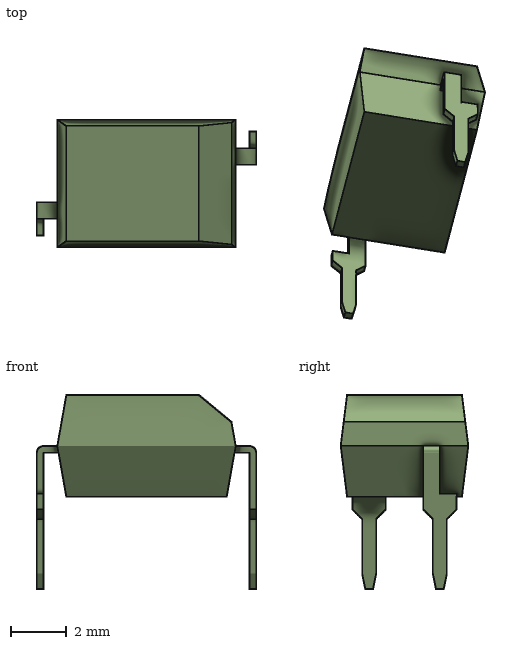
import cadquery as cq


BODY_LENGTH = 6.4
BODY_WIDTH = 4.58
HALF_HEIGHT = 1.825
END_DRAFT = 0.32
SIDE_DRAFT = 0.23
BEVEL_SETBACK = 1.0
BEVEL_DROP = 0.97

LEAD_SPAN = 7.87
LEAD_THICKNESS = 0.25
LEAD_PITCH = 2.535
STANDOFF = 3.305
EMBED_DEPTH = 0.79
SHOULDER_WIDTH = 1.205
PIN_WIDTH = 0.51
TIP_WIDTH = 0.28
SHOULDER_TOP = 1.715
SHOULDER_BOTTOM = 2.275
TIP_LENGTH = 0.55


def half_body(direction):
    """Drafted half of the body, rising (+1) or falling (-1) from the parting plane."""
    return (
        cq.Workplane("XY")
        .rect(BODY_LENGTH, BODY_WIDTH)
        .workplane(offset=direction * HALF_HEIGHT)
        .rect(BODY_LENGTH - 2 * END_DRAFT, BODY_WIDTH - 2 * SIDE_DRAFT)
        .loft(ruled=True, combine=True)
    )


def end_bevel():
    """Wedge that cuts the top edge of the +X end, extended past the body so it cuts cleanly."""
    corner_x = BODY_LENGTH / 2 - END_DRAFT
    bevel_start = corner_x - BEVEL_SETBACK
    bevel_end = corner_x + END_DRAFT * BEVEL_DROP / HALF_HEIGHT
    slope = BEVEL_DROP / (bevel_end - bevel_start)
    outer_x = BODY_LENGTH / 2
    return (
        cq.Workplane("XZ")
        .moveTo(bevel_start, HALF_HEIGHT)
        .lineTo(outer_x, HALF_HEIGHT - slope * (outer_x - bevel_start))
        .lineTo(outer_x, HALF_HEIGHT)
        .close()
        .extrude(BODY_WIDTH / 2, both=True)
    )


def lead():
    """Lead on the -X end: an L-shaped strip trimmed to the outline of its flat blank."""
    outer_x = -LEAD_SPAN / 2
    inner_x = outer_x + LEAD_THICKNESS
    arm_end = -BODY_LENGTH / 2 + EMBED_DEPTH
    tip_z = -HALF_HEIGHT - STANDOFF

    strip = (
        cq.Workplane("XZ")
        .moveTo(outer_x, tip_z)
        .lineTo(outer_x, -LEAD_THICKNESS)
        .radiusArc((inner_x, 0), LEAD_THICKNESS)
        .lineTo(arm_end, 0)
        .lineTo(arm_end, -LEAD_THICKNESS)
        .lineTo(inner_x, -LEAD_THICKNESS)
        .lineTo(inner_x, tip_z)
        .close()
        .extrude(LEAD_PITCH)
    )

    axis_y = -LEAD_PITCH / 2
    half_shoulder = SHOULDER_WIDTH / 2
    half_pin = PIN_WIDTH / 2
    half_tip = TIP_WIDTH / 2
    pin_top = -SHOULDER_BOTTOM - (half_shoulder - half_pin)
    tip_top = tip_z + TIP_LENGTH
    outline = (
        cq.Workplane("YZ", origin=(outer_x, 0, 0))
        .moveTo(axis_y, 0)
        .lineTo(axis_y + half_shoulder, 0)
        .lineTo(axis_y + half_shoulder, -SHOULDER_BOTTOM)
        .lineTo(axis_y + half_pin, pin_top)
        .lineTo(axis_y + half_pin, tip_top)
        .lineTo(axis_y + half_tip, tip_z)
        .lineTo(axis_y - half_tip, tip_z)
        .lineTo(axis_y - half_pin, tip_top)
        .lineTo(axis_y - half_pin, pin_top)
        .lineTo(axis_y - half_shoulder, -SHOULDER_BOTTOM)
        .lineTo(axis_y - half_shoulder, -SHOULDER_TOP)
        .lineTo(axis_y, -SHOULDER_TOP)
        .close()
        .extrude(arm_end - outer_x)
    )
    return strip.intersect(outline)


body = half_body(1).union(half_body(-1)).cut(end_bevel())

result = body
for angle in (0, 180):
    result = result.union(lead().rotate((0, 0, 0), (0, 0, 1), angle))